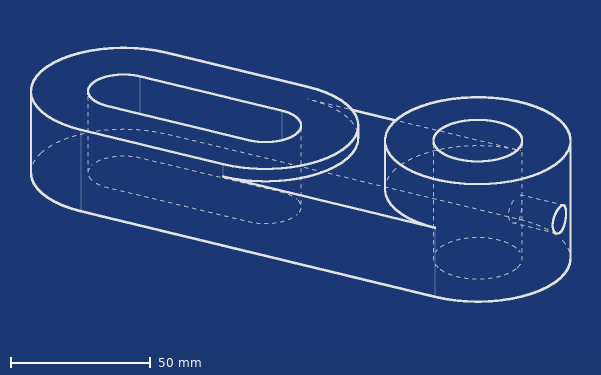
import cadquery as cq

length = 209.3
width = 66.5
end_radius = width / 2
pad_length = 123.7
pad_height = 33.0
web_height = 28.0
boss_height = 47.7
slot_width = 25.5
bore_diameter = 31.8
cross_hole_diameter = 10.5

slot_start_x = -length / 2 + end_radius
slot_end_x = -length / 2 + pad_length - end_radius
boss_x = length / 2 - end_radius
slot_spacing = slot_end_x - slot_start_x
slot_mid_x = (slot_start_x + slot_end_x) / 2


def rounded_bar(bar_width, height):
    """Bar with full-round ends about the two slot centres."""
    return (
        cq.Workplane("XY")
        .center(slot_mid_x, 0)
        .slot2D(slot_spacing + bar_width, bar_width)
        .extrude(height)
    )


def boss_cylinder(diameter):
    """Full-height cylinder on the boss axis."""
    return cq.Workplane("XY").center(boss_x, 0).circle(diameter / 2).extrude(boss_height)


web = (
    cq.Workplane("XY")
    .center((slot_start_x + boss_x) / 2, 0)
    .rect(boss_x - slot_start_x, width)
    .extrude(web_height)
)

body = rounded_bar(width, pad_height).union(web).union(boss_cylinder(width))

cross_hole = (
    cq.Workplane("YZ", origin=(boss_x, 0, boss_height / 2))
    .circle(cross_hole_diameter / 2)
    .extrude(end_radius)
)

result = (
    body.cut(rounded_bar(slot_width, pad_height))
    .cut(boss_cylinder(bore_diameter))
    .cut(cross_hole)
)